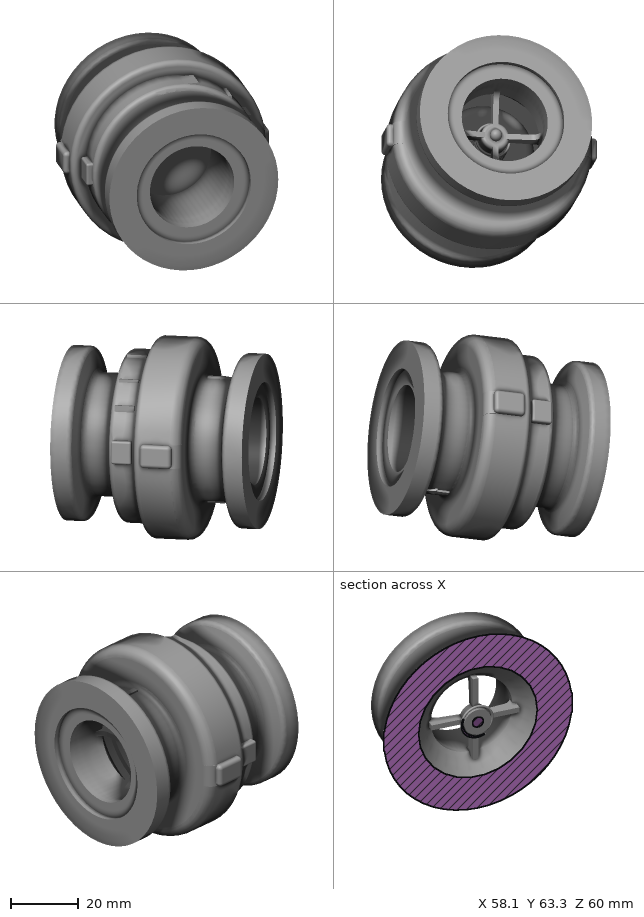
import cadquery as cq
import math

half_length = 29.05
bore_radius = 12.945
neck_radius = 18.3

flange_radius = 25.92
flange_rim_width = 5.95
flange_slope = math.radians(75)
flange_round = 1.5
face_recess_radius = 17.55
face_recess_depth = 1.9
flange_root = flange_rim_width + (flange_radius - neck_radius) / math.tan(flange_slope)

ring_left = -11.15
ring_right = 3.05
ring_radius = 30.0
ring_left_round = 3.1
ring_right_round = 1.6
ring_neck_round = 1.5

collar_right = 11.65
collar_radius = 25.75
collar_round = 1.6
collar_neck_round = 3.15

spigot_left = -3.8
spigot_radius = 26.175
chamber_radius = 19.8
seat_x = 2.55

cavity_left = -13.9
cavity_cone_right = -6.3
cavity_radius = 21.6

lug_width = 6.95
lug_root = 22.8
ring_lug_left = -8.8
ring_lug_right = 0.7
ring_lug_reach = 31.65
ring_lug_round = 1.15
collar_lug_left = 4.25
collar_lug_right = 10.4
collar_lug_reach = 27.5
collar_lug_round = 0.65

rib_left = 4.3
rib_right = 10.25
rib_depth = 2.55
collar_ribs = [(2.65, 7.6, 0.65), (16.1, 17.15, 0), (22.0, 23.05, 0)]

arrow_tip = -19.8
arrow_head_length = 3.15
arrow_head_width = 3.15
arrow_shaft_width = 1.65
arrow_end = -12.6
arrow_root = 16.7
arrow_height = 18.895

leg_count = 4
leg_width = 1.7
leg_back = -10.75
leg_front = -14.25
leg_fillet = 2.8
leg_root_radius = 13.9
hub_front = -13.6
hub_back = -8.85
hub_radius = 4.25
hub_round = 1.1

stem_radius = 1.8
stem_reach = 0.65
disc_front = -1.25
disc_radius = 11.805
seal_radius = 14.59
wire_radius = 0.4
coil_radius = 5.0
coil_turns = 5


def revolve_about_x(outline):
    """Revolve an outline, drawn as (x, radius), about the X axis."""
    return outline.close().revolve(360, (0, 0, 0), (1, 0, 0))


def cylinder_x(radius, x_start, x_end):
    return cq.Workplane("YZ").workplane(offset=x_start).circle(radius).extrude(x_end - x_start)


def round_rims(body, radius, x, rim_radius):
    """Fillet the circular edge of the given radius at the given x."""
    margin = 0.05
    probe = 0.005
    reach = rim_radius + margin
    inner = rim_radius - margin
    box = cq.selectors.BoxSelector((x - probe, -reach, -reach), (x + probe, reach, reach), boundingbox=True)
    core = cq.selectors.BoxSelector((x - probe, -inner, -inner), (x + probe, inner, inner), boundingbox=True)
    return body.edges(box - core).fillet(radius)


def side_block(x_start, x_end, reach):
    """Block standing out of the -Y side, as wide as a lug."""
    return (
        cq.Workplane("XY")
        .box(x_end - x_start, reach - lug_root, lug_width, centered=(False, False, True))
        .translate((x_start, -reach, 0))
    )


def on_both_sides(block):
    return block.union(block.mirror("XZ"))


def lugs(x_start, x_end, reach, rounding):
    block = side_block(x_start, x_end, reach)
    return on_both_sides(block.edges("<Y or |Y").fillet(rounding))


def lug_feet():
    """Flats that run from the ring's left face up to its lugs, over the rounded rim."""
    foot = side_block(ring_left, ring_lug_right - ring_lug_round, ring_radius)
    foot = foot.edges("<X and <Y").fillet(ring_left_round)
    return on_both_sides(foot)


def arrow():
    """Flow arrow on top of the outlet neck, pointing to -X."""
    head_back = arrow_tip + arrow_head_length
    half_head = arrow_head_width / 2
    half_shaft = arrow_shaft_width / 2
    return (
        cq.Workplane("XY")
        .workplane(offset=arrow_root)
        .moveTo(arrow_tip, 0)
        .lineTo(head_back, half_head)
        .lineTo(head_back, half_shaft)
        .lineTo(arrow_end, half_shaft)
        .lineTo(arrow_end, -half_shaft)
        .lineTo(head_back, -half_shaft)
        .lineTo(head_back, -half_head)
        .close()
        .extrude(arrow_height - arrow_root)
    )


def spider():
    """Hub carried by legs whose front faces curve into the bore wall."""
    hub = cylinder_x(hub_radius, hub_front, hub_back).faces("<X").edges().fillet(hub_round)
    hub_flat = hub_radius - hub_round
    bend = bore_radius - leg_fillet
    leg_profile = (
        cq.Workplane("XZ")
        .moveTo(hub_front, hub_flat)
        .lineTo(leg_front, bend)
        .radiusArc((leg_front - leg_fillet, bore_radius), -leg_fillet)
        .lineTo(leg_front - leg_fillet, leg_root_radius)
        .lineTo(leg_back, leg_root_radius)
        .lineTo(leg_back, hub_flat)
        .close()
    )
    leg = leg_profile.extrude(leg_width / 2, both=True)
    for index in range(leg_count):
        hub = hub.union(leg.rotate((0, 0, 0), (1, 0, 0), index * 360 / leg_count))
    return hub.cut(cylinder_x(stem_radius, leg_front, hub_back))


def outlet_housing():
    """Left flange, neck and coupling ring, with the spider inside the bore."""
    body = revolve_about_x(
        cq.Workplane("XY")
        .moveTo(-half_length, 0)
        .lineTo(-half_length, flange_radius)
        .lineTo(-half_length + flange_rim_width, flange_radius)
        .lineTo(-half_length + flange_root, neck_radius)
        .lineTo(ring_left, neck_radius)
        .lineTo(ring_left, ring_radius)
        .lineTo(ring_right, ring_radius)
        .lineTo(ring_right, 0)
    )
    body = round_rims(body, flange_round, -half_length + flange_rim_width, flange_radius)
    body = round_rims(body, flange_round, -half_length + flange_root, neck_radius)
    body = round_rims(body, ring_neck_round, ring_left, neck_radius)
    body = round_rims(body, ring_left_round, ring_left, ring_radius)
    body = round_rims(body, ring_right_round, ring_right, ring_radius)
    body = body.union(lugs(ring_lug_left, ring_lug_right, ring_lug_reach, ring_lug_round))
    body = body.union(lug_feet())
    body = body.union(arrow()).union(arrow().mirror("XY"))
    passage = revolve_about_x(
        cq.Workplane("XY")
        .moveTo(-half_length, 0)
        .lineTo(-half_length, face_recess_radius)
        .lineTo(-half_length + face_recess_depth, face_recess_radius)
        .lineTo(-half_length + face_recess_depth, bore_radius)
        .lineTo(cavity_left, bore_radius)
        .lineTo(cavity_cone_right, cavity_radius)
        .lineTo(spigot_left, cavity_radius)
        .lineTo(spigot_left, spigot_radius)
        .lineTo(ring_right, spigot_radius)
        .lineTo(ring_right, 0)
    )
    return body.cut(passage).union(spider())


def collar_rib(y_inner, y_outer, slope_width):
    """Rib with a level top that starts flush with the collar at its inner side."""
    top = math.sqrt(collar_radius**2 - y_inner**2)
    return (
        cq.Workplane("YZ")
        .workplane(offset=rib_left)
        .moveTo(y_inner, top)
        .lineTo(y_outer - slope_width, top)
        .lineTo(y_outer, top - rib_depth)
        .lineTo(y_inner, top - rib_depth)
        .close()
        .extrude(rib_right - rib_left)
    )


def inlet_housing():
    """Right flange, neck and collar, with a spigot that fills the ring's socket."""
    body = revolve_about_x(
        cq.Workplane("XY")
        .moveTo(spigot_left, 0)
        .lineTo(spigot_left, spigot_radius)
        .lineTo(ring_right, spigot_radius)
        .lineTo(ring_right, collar_radius)
        .lineTo(collar_right, collar_radius)
        .lineTo(collar_right, neck_radius)
        .lineTo(half_length - flange_root, neck_radius)
        .lineTo(half_length - flange_rim_width, flange_radius)
        .lineTo(half_length, flange_radius)
        .lineTo(half_length, 0)
    )
    body = round_rims(body, collar_round, collar_right, collar_radius)
    body = round_rims(body, collar_neck_round, collar_right, neck_radius)
    body = round_rims(body, flange_round, half_length - flange_root, neck_radius)
    body = round_rims(body, flange_round, half_length - flange_rim_width, flange_radius)
    body = body.union(lugs(collar_lug_left, collar_lug_right, collar_lug_reach, collar_lug_round))
    for y_inner, y_outer, slope_width in collar_ribs:
        body = body.union(collar_rib(y_inner, y_outer, slope_width))
    body = body.cut(cylinder_x(chamber_radius, spigot_left, seat_x))
    body = body.cut(cylinder_x(bore_radius, seat_x, half_length))
    return body.cut(cylinder_x(face_recess_radius, half_length - face_recess_depth, half_length))


def poppet():
    """Flat disc with a round-nosed stem that slides in the spider's hub."""
    stem_front = hub_front - stem_reach
    stem = cylinder_x(stem_radius, stem_front, disc_front)
    nose = cq.Workplane("XY").sphere(stem_radius).translate((stem_front, 0, 0))
    return cylinder_x(disc_radius, disc_front, seat_x).union(stem).union(nose)


def seal():
    """Ring on the disc's rim, with a rounded front and a flat back that meets the seat."""
    ring = cylinder_x(seal_radius, disc_front, seat_x)
    ring = ring.faces("<X").edges().fillet(seal_radius - disc_radius)
    return ring.cut(cylinder_x(disc_radius, disc_front, seat_x))


def spring():
    """Coil between the legs and the disc."""
    height = disc_front - leg_back - 2 * wire_radius
    path = cq.Wire.makeHelix(height / coil_turns, height, coil_radius)
    wire_section = cq.Workplane("XZ").center(coil_radius, 0).circle(wire_radius)
    coil = wire_section.sweep(cq.Workplane(path), isFrenet=True)
    return coil.rotate((0, 0, 0), (0, 1, 0), 90).translate((leg_back + wire_radius, 0, 0))


result = cq.Compound.makeCompound(
    [outlet_housing().val(), inlet_housing().val(), poppet().val(), seal().val(), spring().val()]
)